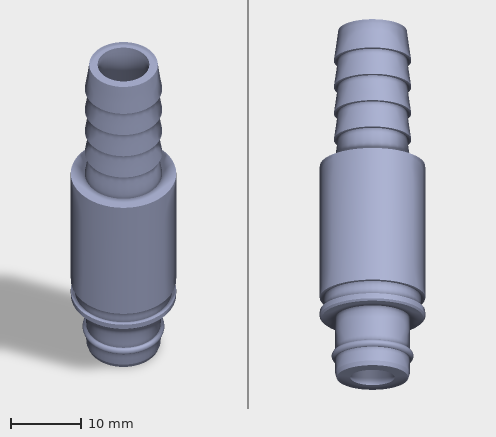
import cadquery as cq

total_height = 52.45
body_radius = 7.5

plug_radius = 5.3
plug_chamfer_height = 0.65
plug_chamfer_width = 0.2
bead_height = 3.25
bead_radius = 0.5

flange_bottom = 8.95
flange_top = 10.0
flange_chamfer = 0.25
groove_radius = 6.9
body_bottom = 12.05

barb_count = 5
barb_pitch = 4.0
top_barb_height = 4.5
barb_radius = 5.5
tip_radius = 4.9
barb_taper = (barb_radius - tip_radius) / top_barb_height
body_top = total_height - top_barb_height - (barb_count - 1) * barb_pitch

tail_bore_radius = 3.65
plug_bore_radius = 3.15
shoulder_top = body_bottom
shoulder_bottom = shoulder_top - (tail_bore_radius - plug_bore_radius)


def frustum(z_bottom, z_top, bottom_radius, top_radius):
    """Solid of revolution about Z with a straight side."""
    return (
        cq.Workplane("XZ")
        .moveTo(0, z_bottom)
        .lineTo(bottom_radius, z_bottom)
        .lineTo(top_radius, z_top)
        .lineTo(0, z_top)
        .close()
        .revolve(360, (0, 0, 0), (0, 1, 0))
    )


def cylinder(z_bottom, z_top, radius):
    return frustum(z_bottom, z_top, radius, radius)


def plug():
    """Plug with a chamfered nose and a rounded sealing bead."""
    nose = frustum(0, plug_chamfer_height, plug_radius - plug_chamfer_width, plug_radius)
    shank = cylinder(plug_chamfer_height, flange_bottom, plug_radius)
    bead = (
        cq.Workplane("XZ")
        .moveTo(plug_radius, bead_height - bead_radius)
        .threePointArc((plug_radius + bead_radius, bead_height), (plug_radius, bead_height + bead_radius))
        .lineTo(0, bead_height + bead_radius)
        .lineTo(0, bead_height - bead_radius)
        .close()
        .revolve(360, (0, 0, 0), (0, 1, 0))
    )
    return nose.union(shank).union(bead)


def body():
    """Flange, groove and main cylinder."""
    flange = cylinder(flange_bottom, flange_top, body_radius).faces("<Z").chamfer(flange_chamfer)
    groove_core = cylinder(flange_top, body_bottom, groove_radius)
    barrel = cylinder(body_bottom, body_top, body_radius)
    return flange.union(groove_core).union(barrel)


def hose_tail():
    """Barbs sharing one taper, each widest at its bottom edge."""
    tail = frustum(total_height - top_barb_height, total_height, barb_radius, tip_radius)
    for index in range(barb_count - 1):
        z_bottom = body_top + index * barb_pitch
        barb_top_radius = barb_radius - barb_taper * barb_pitch
        tail = tail.union(frustum(z_bottom, z_bottom + barb_pitch, barb_radius, barb_top_radius))
    return tail


def bore():
    """Through passage with a conical shoulder between its two diameters."""
    lower = cylinder(0, shoulder_bottom, plug_bore_radius)
    shoulder = frustum(shoulder_bottom, shoulder_top, plug_bore_radius, tail_bore_radius)
    upper = cylinder(shoulder_top, total_height, tail_bore_radius)
    return lower.union(shoulder).union(upper)


result = plug().union(body()).union(hose_tail()).cut(bore())